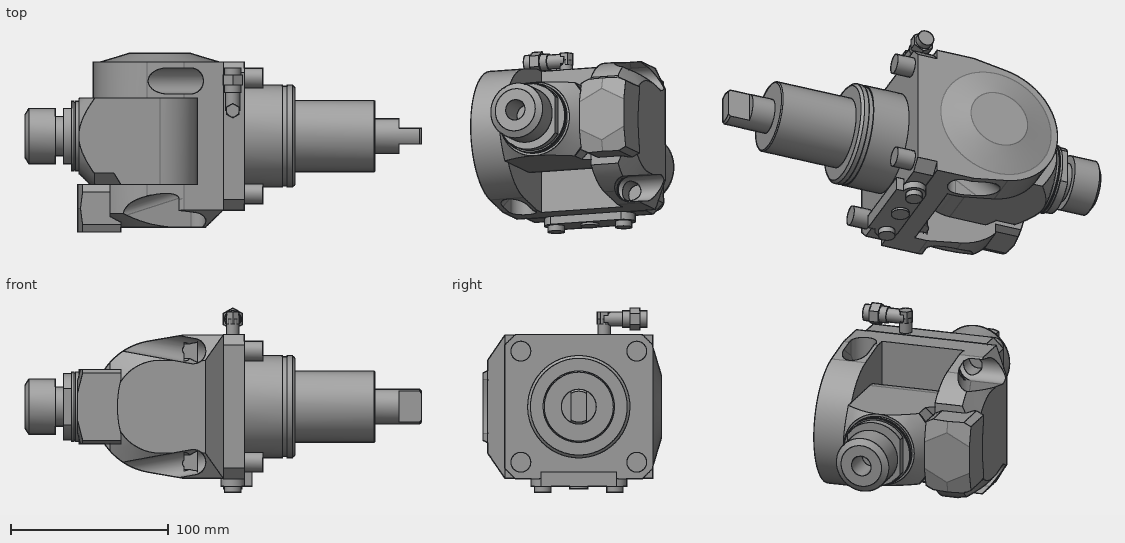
import cadquery as cq
import math


pilot_radius = 32.5
pilot_end = 32.1
pilot_groove_start = 24.0
pilot_groove_width = 3.0
pilot_groove_depth = 0.8
pilot_chamfer = 1.8
shank_radius = 22.5
shank_end = 83.0
shank_chamfer = 0.8
drive_radius = 11.0
drive_end = 98.0
tang_end = 112.3
tang_thickness = 10.0
tang_chamfer = 1.3

half_height = 45.5
flange_half_height = 45.7
half_width = 47.0
flange_thickness = 13.3
flange_chamfer = 6.8
pivot_x = -53.5
body_radius = 42.2
body_slope = math.radians(11)
shoulder_x = -38.2
back_wall_x = -29.6
pocket_far_y = 24.0
pocket_near_y = -30.6
arm_face_y = -57.8
arm_bevel_start_y = -46.7
arm_face_radius = 29.5
arm_nose_x = -85.0
arm_heel_x = -24.5
cap_base_radius = 37.7
cap_top_radius = 19.3
cap_top_y = 52.5

spindle_half_height = 23.5
spindle_front_x = -104.7
spindle_notch_start_x = -95.0
spindle_notch_end_x = -82.6
spindle_notch_runout = 4.5
spindle_notch_width = 7.3
spindle_notch_height = 9.3
ring_radius = 22.0
ring_front_x = -109.3
ring_groove_x = -107.7
ring_groove_width = 0.8
ring_groove_depth = 0.8
collar_radius = 21.0
collar_front_x = -114.5
collar_across_flats = 35.2
neck_radius = 12.5
nut_radius = 17.5
nut_rear_x = -119.5
nut_front_x = -139.0
nut_chamfer_length = 2.5
nut_face_radius = 13.5
bore_radius = 6.5
bore_depth = 20.0

side_front_x = -105.5
side_rear_x = -78.0
side_face_y = -60.8
side_chamfer_width = 4.8
side_chamfer_height = 2.3
side_relief_half_height = 17.0
side_relief_depth = 2.3
facet_ridge_z = 16.5
facet_side_z = 8.8
facet_depth = 3.8

screw_y = 36.7
screw_z = 35.2
screw_radius = 6.3
screw_projection = 11.8
pocket_screw_y = 35.0
far_slot_radius = 8.3
far_slot_end_x = -34.2
far_slot_angle = 31
near_slot_radius = 8.0
near_slot_end_x = -32.5
near_slot_y = -37.0
near_slot_direction = (-0.93, -0.3, 0.17)
slot_length = 75.3

fitting_x = -7.3
elbow_y = 16.0
elbow_z = 55.5
stub_radius = 4.0
pipe_radius = 4.5
elbow_across_corners = 9.0
elbow_bottom_z = 52.5
elbow_top_z = 60.0
sleeve_start_y = 27.6
sleeve_end_y = 43.2
sleeve_radius = 5.3
hex_start_y = 32.5
hex_width = 6.3
hex_across_corners = 14.0

key_half_length = 23.9
key_front_x = -14.8
key_rear_x = 5.0
key_bottom_z = -50.5
key_lip_top_z = -41.5
washer_radius = 7.5
key_screw_y = 22.9
key_screw_radius = 5.3
key_screw_bottom_z = -54.3
plug_radius = 5.8
plug_bottom_z = -52.0


def box(x0, x1, y0, y1, z0, z1):
    return cq.Workplane("XY").box(x1 - x0, y1 - y0, z1 - z0, centered=False).translate((x0, y0, z0))


def rod(radius, start, length, direction):
    return cq.Workplane(cq.Solid.makeCylinder(radius, length, cq.Vector(*start), cq.Vector(*direction)))


def disc_x(radius, x0, x1):
    return rod(radius, (x0, 0, 0), x1 - x0, (1, 0, 0))


def cone(radius0, radius1, start, length, direction):
    return cq.Workplane(
        cq.Solid.makeCone(radius0, radius1, length, cq.Vector(*start), cq.Vector(*direction))
    )


def make_shank():
    shank = disc_x(pilot_radius, -flange_thickness, pilot_end).faces(">X").chamfer(pilot_chamfer)
    groove = disc_x(pilot_radius, pilot_groove_start, pilot_groove_start + pilot_groove_width)
    groove = groove.cut(disc_x(pilot_radius - pilot_groove_depth, 0, pilot_end))
    shank = shank.cut(groove)
    shank = shank.union(disc_x(shank_radius, 0, shank_end).faces(">X").chamfer(shank_chamfer))
    drive = disc_x(drive_radius, 0, tang_end).faces(">X").chamfer(tang_chamfer)
    for side in (-1, 1):
        flat_centre = side * (tang_thickness / 2 + drive_radius)
        drive = drive.cut(
            box(drive_end, tang_end, flat_centre - drive_radius, flat_centre + drive_radius,
                -drive_radius, drive_radius)
        )
    return shank.union(drive)


def body_prism(y0, y1):
    """D-shaped outline, its sloping sides tangent to the nose arc, extruded from y0 to y1."""
    tangent_x = pivot_x - body_radius * math.sin(body_slope)
    tangent_z = body_radius * math.cos(body_slope)
    return (
        cq.Workplane("XZ", origin=(0, y1, 0))
        .moveTo(-flange_thickness, -half_height)
        .lineTo(-flange_thickness, half_height)
        .lineTo(shoulder_x, half_height)
        .lineTo(tangent_x, tangent_z)
        .threePointArc((pivot_x - body_radius, 0), (tangent_x, -tangent_z))
        .lineTo(shoulder_x, -half_height)
        .close()
        .extrude(y1 - y0)
    )


def make_near_arm():
    """Near arm of the fork with a bevel running round the rim of its outer face."""
    bevel_length = arm_bevel_start_y - arm_face_y
    envelope = (
        cq.Workplane("YZ", origin=(pivot_x, 0, 0))
        .moveTo(pocket_near_y, half_height)
        .lineTo(arm_bevel_start_y, half_height)
        .lineTo(arm_face_y, arm_face_radius)
        .lineTo(arm_face_y, -arm_face_radius)
        .lineTo(arm_bevel_start_y, -half_height)
        .lineTo(pocket_near_y, -half_height)
        .close()
        .extrude(-flange_thickness - pivot_x)
    )
    envelope = envelope.union(
        cone(half_height, arm_face_radius, (pivot_x, arm_bevel_start_y, 0), bevel_length, (0, -1, 0))
    )
    envelope = envelope.union(
        rod(half_height, (pivot_x, pocket_near_y, 0), pocket_near_y - arm_bevel_start_y, (0, -1, 0))
    )
    heel = (
        cq.Workplane("XY", origin=(0, 0, -half_height))
        .moveTo(-flange_thickness, arm_bevel_start_y)
        .lineTo(arm_heel_x, arm_face_y)
        .lineTo(-flange_thickness, arm_face_y)
        .close()
        .extrude(2 * half_height)
    )
    envelope = envelope.intersect(
        box(arm_nose_x, -flange_thickness, arm_face_y, pocket_near_y, -half_height, half_height)
    )
    return body_prism(arm_face_y, pocket_near_y).intersect(envelope).cut(heel)


def make_body():
    flange = box(-flange_thickness, 0, -half_width, half_width,
                 -flange_half_height, flange_half_height)
    flange = flange.edges("|X").chamfer(flange_chamfer)
    back_wall = box(back_wall_x, -flange_thickness, pocket_near_y, pocket_far_y, -half_height, half_height)
    cap = cone(cap_base_radius, cap_top_radius, (pivot_x, half_width, 0), cap_top_y - half_width, (0, 1, 0))
    body = body_prism(pocket_far_y, half_width).union(cap).union(back_wall).union(make_near_arm())
    return body.union(flange)


def sloped_slot(start, direction, opening, radius):
    """Slot with a round end about start and a round-bottomed floor that follows direction.

    The walls run parallel to the opening vector.
    """
    along = direction.normalized()
    sideways = opening.cross(along).normalized()
    run = sideways.cross(opening)
    plan_plane = cq.Plane(origin=start - opening * slot_length, xDir=run, normal=opening)
    outline = cq.Workplane(plan_plane).circle(radius).extrude(2 * slot_length)
    straight = (
        cq.Workplane(plan_plane)
        .center(slot_length / 2, 0)
        .rect(slot_length, 2 * radius)
        .extrude(2 * slot_length)
    )
    floor_plane = cq.Plane(origin=start - along * slot_length, xDir=along.cross(sideways), normal=along)
    floor = cq.Workplane(floor_plane).circle(radius).extrude(2 * slot_length)
    above_floor = (
        cq.Workplane(floor_plane)
        .center(slot_length / 2, 0)
        .rect(slot_length, 2 * radius)
        .extrude(2 * slot_length)
    )
    return outline.union(straight).intersect(floor.union(above_floor))


def far_slot():
    """Access slot rising towards the nose, open upwards."""
    angle = math.radians(far_slot_angle)
    start = cq.Vector(far_slot_end_x, pocket_screw_y, screw_z)
    direction = cq.Vector(-math.cos(angle), 0, math.sin(angle))
    return sloped_slot(start, direction, cq.Vector(0, 0, 1), far_slot_radius)


def near_slot():
    """Access slot running out through the bevel, open towards the outer face of the arm."""
    start = cq.Vector(near_slot_end_x, near_slot_y, screw_z)
    return sloped_slot(start, cq.Vector(*near_slot_direction), cq.Vector(0, -1, 0), near_slot_radius)


def cut_access_slots(body):
    for slot in (far_slot(), near_slot()):
        body = body.cut(slot).cut(slot.mirror("XY"))
    for z in (-screw_z, screw_z):
        body = body.cut(
            rod(screw_radius, (shoulder_x, -pocket_screw_y, z), -flange_thickness - shoulder_x, (1, 0, 0))
        )
    return body


def make_spindle_block():
    """Block rounded about the pivot axis, with its front turned to a 45 degree cone."""
    block = box(spindle_front_x, pivot_x, pocket_near_y, pocket_far_y,
                -spindle_half_height, spindle_half_height)
    block = block.union(
        rod(spindle_half_height, (pivot_x, pocket_near_y, 0), pocket_far_y - pocket_near_y, (0, 1, 0))
    )
    length = back_wall_x - spindle_front_x
    block = block.intersect(
        cone(spindle_half_height, spindle_half_height + length, (spindle_front_x, 0, 0), length, (1, 0, 0))
    )
    notch = (
        cq.Workplane("YZ", origin=(spindle_notch_start_x, 0, 0))
        .moveTo(pocket_near_y, spindle_half_height)
        .lineTo(pocket_near_y + spindle_notch_width, spindle_half_height)
        .lineTo(pocket_near_y, spindle_half_height - spindle_notch_height)
        .close()
        .extrude(spindle_notch_end_x + spindle_notch_runout - spindle_notch_start_x)
    )
    notch_plan = (
        cq.Workplane("XY")
        .moveTo(spindle_notch_start_x, pocket_near_y)
        .lineTo(spindle_notch_end_x + spindle_notch_runout, pocket_near_y)
        .lineTo(spindle_notch_end_x, pocket_near_y + spindle_notch_width)
        .lineTo(spindle_notch_start_x, pocket_near_y + spindle_notch_width)
        .close()
        .extrude(spindle_half_height)
    )
    notch = notch.intersect(notch_plan)
    return block.cut(notch).cut(notch.mirror("XY"))


def make_nose():
    nose = disc_x(ring_radius, ring_front_x, pivot_x)
    ring_groove = disc_x(ring_radius, ring_groove_x, ring_groove_x + ring_groove_width)
    ring_groove = ring_groove.cut(disc_x(ring_radius - ring_groove_depth, ring_front_x, pivot_x))
    nose = nose.cut(ring_groove)
    collar = disc_x(collar_radius, collar_front_x, ring_front_x)
    collar = collar.intersect(
        box(collar_front_x, ring_front_x, -collar_across_flats / 2, collar_across_flats / 2,
            -collar_radius, collar_radius)
    )
    chamfer_end_x = nut_front_x + nut_chamfer_length
    nut = disc_x(nut_radius, chamfer_end_x, nut_rear_x)
    nut = nut.union(cone(nut_face_radius, nut_radius, (nut_front_x, 0, 0), nut_chamfer_length, (1, 0, 0)))
    nose = nose.union(collar).union(disc_x(neck_radius, nut_rear_x, collar_front_x)).union(nut)
    return nose.cut(disc_x(bore_radius, nut_front_x, nut_front_x + bore_depth))


def corner_facet(y_corner, y_ridge):
    """Large block, one face of which lies on the bevel of a front corner of the side block's upper half."""
    ridge_point = cq.Vector(side_front_x, y_ridge, facet_ridge_z)
    side_point = cq.Vector(side_front_x, y_corner, facet_side_z)
    rear_point = cq.Vector(side_front_x + facet_depth, y_corner, spindle_half_height)
    normal = (side_point - ridge_point).cross(rear_point - ridge_point).normalized()
    if normal.x > 0:
        normal = normal * -1
    size = 4 * spindle_half_height
    plane = cq.Plane(origin=ridge_point, normal=normal)
    return cq.Workplane(plane).rect(size, size).extrude(size)


def make_side_block():
    middle_y = (side_face_y + pocket_near_y) / 2
    block = (
        cq.Workplane("YZ", origin=(side_front_x, 0, 0))
        .moveTo(side_face_y, spindle_half_height - side_chamfer_height)
        .lineTo(side_face_y + side_chamfer_width, spindle_half_height)
        .lineTo(pocket_near_y - side_chamfer_width, spindle_half_height)
        .lineTo(pocket_near_y, spindle_half_height - side_chamfer_height)
        .lineTo(pocket_near_y, 0)
        .lineTo(side_face_y, 0)
        .close()
        .extrude(side_rear_x - side_front_x)
    )
    for corner_y in (side_face_y, pocket_near_y):
        block = block.cut(corner_facet(corner_y, middle_y))
    relief = (
        cq.Workplane("XZ", origin=(0, arm_face_y, 0))
        .moveTo(side_rear_x, -side_relief_half_height)
        .threePointArc((side_rear_x - side_relief_depth, 0), (side_rear_x, side_relief_half_height))
        .close()
        .extrude(arm_face_y - side_face_y)
    )
    return block.union(block.mirror("XY")).cut(relief)


def make_flange_screws():
    screws = cq.Workplane("XY")
    for y in (-screw_y, screw_y):
        for z in (-screw_z, screw_z):
            start = (-flange_thickness, y, z)
            screws = screws.union(rod(screw_radius, start, flange_thickness + screw_projection, (1, 0, 0)))
    return screws


def make_fitting():
    elbow_centre = (fitting_x, elbow_y, elbow_z)
    fitting = rod(stub_radius, (fitting_x, elbow_y, 0), elbow_z, (0, 0, 1))
    elbow = (
        cq.Workplane("XY", origin=(fitting_x, elbow_y, elbow_bottom_z))
        .transformed(rotate=(0, 0, 90))
        .polygon(6, elbow_across_corners)
        .extrude(elbow_top_z - elbow_bottom_z)
    )
    fitting = fitting.union(elbow)
    fitting = fitting.union(rod(pipe_radius, elbow_centre, sleeve_start_y - elbow_y, (0, 1, 0)))
    sleeve_start = (fitting_x, sleeve_start_y, elbow_z)
    fitting = fitting.union(rod(sleeve_radius, sleeve_start, sleeve_end_y - sleeve_start_y, (0, 1, 0)))
    hexagon = (
        cq.Workplane("XZ", origin=(fitting_x, hex_start_y, elbow_z))
        .transformed(rotate=(0, 0, 90))
        .polygon(6, hex_across_corners)
        .extrude(-hex_width)
    )
    return fitting.union(hexagon)


def make_key():
    key = box(key_front_x, key_rear_x, -key_half_length, key_half_length, key_bottom_z, -half_height)
    key = key.union(box(0, key_rear_x, -key_half_length, key_half_length, key_bottom_z, key_lip_top_z))
    for y in (-key_screw_y, key_screw_y):
        start = (fitting_x, y, -half_height)
        key = key.union(rod(washer_radius, start, -half_height - key_bottom_z, (0, 0, -1)))
        key = key.union(rod(key_screw_radius, start, -half_height - key_screw_bottom_z, (0, 0, -1)))
    plug_start = (fitting_x, 0, -half_height)
    return key.union(rod(plug_radius, plug_start, -half_height - plug_bottom_z, (0, 0, -1)))


result = cut_access_slots(make_body())
for component in (
    make_shank(),
    make_spindle_block(),
    make_nose(),
    make_side_block(),
    make_flange_screws(),
    make_fitting(),
    make_key(),
):
    result = result.union(component)